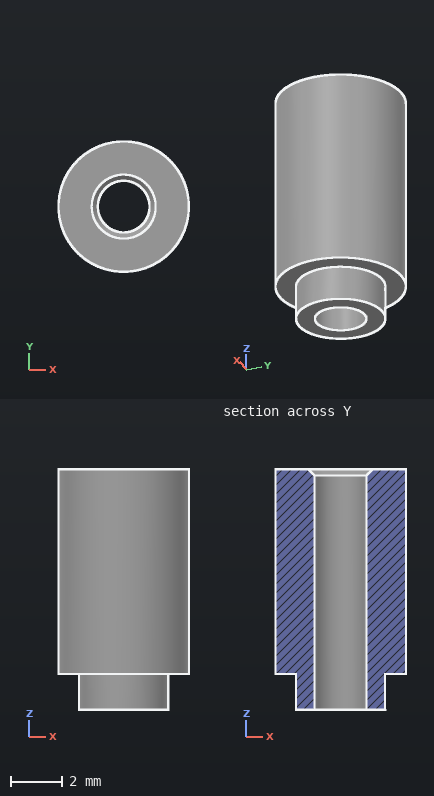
import cadquery as cq

total_height = 9.4
body_diameter = 5.1
spigot_diameter = 3.5
spigot_height = 1.4
body_height = total_height - spigot_height

bore_diameter = 2.01
countersink_depth = 0.24

spigot = cq.Workplane("XY").circle(spigot_diameter / 2).extrude(spigot_height)
body = (
    cq.Workplane("XY")
    .workplane(offset=spigot_height)
    .circle(body_diameter / 2)
    .extrude(body_height)
)
sleeve = spigot.union(body)

bored_sleeve = sleeve.faces(">Z").workplane().hole(bore_diameter)
bore_rim = cq.selectors.RadiusNthSelector(0)
result = bored_sleeve.faces(">Z").edges(bore_rim).chamfer(countersink_depth)